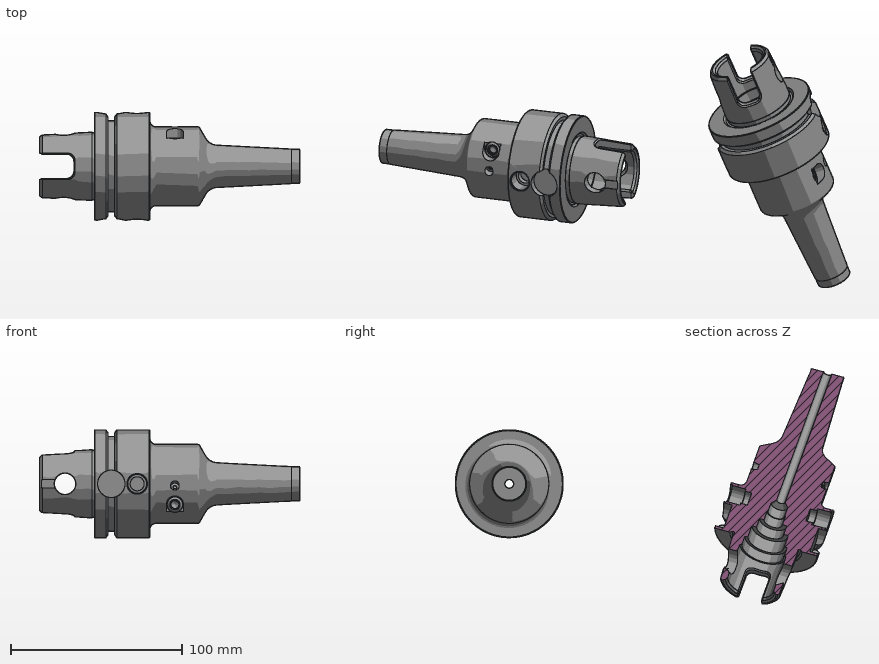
import cadquery as cq
import math


shank_length = 32.0
taper_slope = 0.05
taper_radius_at_flange = 20.05
shank_tip_chamfer_length = 1.7
shank_tip_radius = 17.2
neck_relief_start = -1.5
neck_relief_depth = 0.35
face_relief_radius = 22.0
face_relief_floor_radius = 20.9
face_relief_depth = 1.0

flange_radius = 63.0 / 2
flange_length = 32.5
flange_front_chamfer = 0.4
flange_rear_chamfer = 0.5
groove_center = 9.9
groove_bottom_width = 3.7
groove_top_width = 6.4
groove_mouth_depth = 1.8
groove_bottom_radius = 27.8

body_radius = 46.2 / 2
body_fillet = 3.5
body_end = 61.1
body_edge_fillet = 1.4
shoulder_angle = math.radians(60)
nose_fillet = 8.0
nose_angle = math.radians(3)
nose_taper_end = 115.0
nose_taper_end_radius = 10.15
nose_end = 120.0
nose_tip_radius = 10.0
nose_tip_chamfer = 0.4

bore_mouth_radius = 16.3
bore_mouth_chamfer_length = 0.9
bore_lead_in_radius = 14.9
bore_lead_in_length = 1.4
bore_radius = 14.0
bore_steps = [(-6.0, 12.8), (0.0, 11.0), (8.0, 8.2), (14.0, 5.5), (20.0, 5.0)]
bore_tip_cone_start = 26.0
bore_tip_cone_length = 3.0
through_radius = 5.0 / 2

slot_width = 14.0
slot_end = -12.0
slot_corner_radius = 4.0
slot_mouth_flare = 0.8
slot_edge_chamfer = 0.8

ball_hole_diameter = 12.4
ball_hole_x = -17.1
ball_seat_tilt = math.radians(35)
ball_seat_depth = 15.5
key_flat_width = 5.0
key_flat_height = 18.1

pocket_diameter = 16.0
pocket_floor = 26.5
lock_hole_x = 25.0
lock_mouth_diameter = 12.0
lock_mouth_floor = 30.3
lock_hole_diameter = 11.0
lock_step_floor = 22.0
lock_inner_diameter = 8.2
lock_inner_floor = 18.0

screw_x = 47.0
screw_z = -12.1
notch_width = 10.0
notch_floor = 16.5
screw_hole_diameter = 9.2
screw_hole_floor = 14.5
screw_diameter = 9.0
screw_top_diameter = 6.0
screw_height = 1.7
socket_diameter = 4.62
socket_depth = 1.0
socket_cone_depth = 1.4
bleed_z = -0.9
bleed_tilt = math.radians(20)
bleed_diameter = 5.0
bleed_depth = 3.0
bleed_socket_diameter = 2.31
bleed_socket_depth = 1.0


def taper_radius(x):
    return taper_radius_at_flange + taper_slope * x


def twin(solid):
    """The solid together with its copy turned half a turn about the X axis."""
    return solid.union(solid.rotate((0, 0, 0), (1, 0, 0), 180))


def side_cylinder(x, z, diameter, floor):
    """Cylinder along Y from the depth |y| = floor out past the flange on the -Y side."""
    plane = cq.Plane(origin=(x, -floor, z), xDir=(1, 0, 0), normal=(0, -1, 0))
    return cq.Workplane(plane).circle(diameter / 2).extrude(flange_radius)


def make_outer_body():
    tip_x = -shank_length
    tip_end = tip_x + shank_tip_chamfer_length
    relief_radius = taper_radius(neck_relief_start) - neck_relief_depth
    half_bottom = groove_bottom_width / 2
    half_top = groove_top_width / 2
    groove_shoulder = flange_radius - groove_mouth_depth

    edge_tangent = body_edge_fillet * math.tan(shoulder_angle / 2)
    edge_fillet_end = (
        body_end + edge_tangent * math.cos(shoulder_angle),
        body_radius - edge_tangent * math.sin(shoulder_angle),
    )

    nose_slope = math.tan(nose_angle)
    shoulder_slope = math.tan(shoulder_angle)
    reference = nose_taper_end_radius + nose_fillet / math.cos(nose_angle) + nose_slope * nose_taper_end
    shoulder_line = body_radius + nose_fillet / math.cos(shoulder_angle) + shoulder_slope * body_end
    arc_x = (shoulder_line - reference) / (shoulder_slope - nose_slope)
    arc_r = reference - nose_slope * arc_x

    def on_arc(angle):
        return (arc_x - nose_fillet * math.sin(angle), arc_r - nose_fillet * math.cos(angle))

    return (
        cq.Workplane("XY")
        .moveTo(tip_x, 0)
        .lineTo(tip_x, shank_tip_radius)
        .lineTo(tip_end, taper_radius(tip_end))
        .lineTo(neck_relief_start, taper_radius(neck_relief_start))
        .lineTo(neck_relief_start, relief_radius)
        .lineTo(face_relief_depth, relief_radius)
        .lineTo(face_relief_depth, face_relief_floor_radius)
        .lineTo(0, face_relief_radius)
        .lineTo(0, flange_radius - flange_front_chamfer)
        .lineTo(flange_front_chamfer, flange_radius)
        .lineTo(groove_center - half_top, flange_radius)
        .lineTo(groove_center - half_bottom, groove_shoulder)
        .lineTo(groove_center - half_bottom, groove_bottom_radius)
        .lineTo(groove_center + half_bottom, groove_bottom_radius)
        .lineTo(groove_center + half_bottom, groove_shoulder)
        .lineTo(groove_center + half_top, flange_radius)
        .lineTo(flange_length - flange_rear_chamfer, flange_radius)
        .lineTo(flange_length, flange_radius - flange_rear_chamfer)
        .lineTo(flange_length, body_radius + body_fillet)
        .radiusArc((flange_length + body_fillet, body_radius), -body_fillet)
        .lineTo(body_end - edge_tangent, body_radius)
        .radiusArc(edge_fillet_end, body_edge_fillet)
        .lineTo(*on_arc(shoulder_angle))
        .threePointArc(on_arc((shoulder_angle + nose_angle) / 2), on_arc(nose_angle))
        .lineTo(nose_taper_end, nose_taper_end_radius)
        .lineTo(nose_taper_end, nose_tip_radius)
        .lineTo(nose_end - nose_tip_chamfer, nose_tip_radius)
        .lineTo(nose_end, nose_tip_radius - nose_tip_chamfer)
        .lineTo(nose_end, 0)
        .close()
        .revolve(360, (0, 0, 0), (1, 0, 0))
    )


def make_bore():
    profile = (
        cq.Workplane("XY")
        .moveTo(-shank_length, 0)
        .lineTo(-shank_length, bore_mouth_radius)
        .lineTo(-shank_length + bore_mouth_chamfer_length, bore_lead_in_radius)
        .lineTo(-shank_length + bore_mouth_chamfer_length + bore_lead_in_length, bore_radius)
    )
    wall_radius = bore_radius
    for floor, next_radius in bore_steps:
        profile = profile.lineTo(floor, wall_radius).lineTo(floor, next_radius)
        wall_radius = next_radius
    return (
        profile.lineTo(bore_tip_cone_start, wall_radius)
        .lineTo(bore_tip_cone_start + bore_tip_cone_length, through_radius)
        .lineTo(nose_end, through_radius)
        .lineTo(nose_end, 0)
        .close()
        .revolve(360, (0, 0, 0), (1, 0, 0))
    )


def make_drive_slot():
    half = slot_width / 2
    tip = -shank_length
    flare_end = tip + shank_tip_chamfer_length
    corner = slot_corner_radius
    half_floor = half - corner
    return (
        cq.Workplane("XY")
        .moveTo(tip, half + slot_mouth_flare)
        .lineTo(flare_end, half)
        .lineTo(slot_end - corner, half)
        .radiusArc((slot_end, half_floor), corner)
        .lineTo(slot_end, -half_floor)
        .radiusArc((slot_end - corner, -half), corner)
        .lineTo(flare_end, -half)
        .lineTo(tip, -half - slot_mouth_flare)
        .close()
        .extrude(flange_radius, both=True)
    )


def make_slotted_body():
    """Turned body with bore and drive slot, the slot edges chamfered along the taper and the bore."""
    body = make_outer_body().cut(make_bore()).cut(make_drive_slot())
    taper_start = shank_tip_chamfer_length - shank_length
    bore_start = bore_mouth_chamfer_length + bore_lead_in_length - shank_length
    half = slot_width / 2
    slot_box = cq.selectors.BoxSelector(
        (min(taper_start, bore_start), -half - slot_edge_chamfer, -flange_radius),
        (slot_end + slot_edge_chamfer, half + slot_edge_chamfer, flange_radius),
    )

    def runs_along_taper_or_bore(edge):
        return edge.geomType() != "LINE" or abs(edge.tangentAt(0).x) > 0.5

    edges = body.edges(slot_box).filter(runs_along_taper_or_bore)
    return edges.chamfer(slot_edge_chamfer)


def make_shank_side_cuts():
    ball_hole = side_cylinder(ball_hole_x, 0, ball_hole_diameter, 0)
    inward = (-math.sin(ball_seat_tilt), math.cos(ball_seat_tilt), 0)
    seat_plane = cq.Plane(origin=(ball_hole_x, -ball_seat_depth, 0), xDir=(0, 0, 1), normal=inward)
    ball_seat = cq.Workplane(seat_plane).circle(ball_hole_diameter / 2).extrude(ball_seat_depth / 2)
    flat_length = ball_hole_x + shank_length
    flat = cq.Workplane("XY").box(flat_length, flange_radius, key_flat_width, centered=(False, False, True))
    flat = flat.translate((-shank_length, -flange_radius - key_flat_height, 0))
    return twin(ball_hole.union(ball_seat).union(flat))


def make_flange_side_cuts():
    pocket = side_cylinder(groove_center, 0, pocket_diameter, pocket_floor)
    mouth = side_cylinder(lock_hole_x, 0, lock_mouth_diameter, lock_mouth_floor)
    hole = side_cylinder(lock_hole_x, 0, lock_hole_diameter, lock_step_floor)
    inner = side_cylinder(lock_hole_x, 0, lock_inner_diameter, lock_inner_floor)
    return twin(pocket.union(mouth).union(hole).union(inner))


def make_screw_notch():
    round_end = side_cylinder(screw_x, screw_z, notch_width, notch_floor)
    run_out = cq.Workplane("XY").box(notch_width, flange_radius, body_radius, centered=(True, False, False))
    run_out = run_out.translate((screw_x, -notch_floor - flange_radius, screw_z - body_radius))
    screw_hole = side_cylinder(screw_x, screw_z, screw_hole_diameter, screw_hole_floor)
    return twin(round_end.union(run_out).union(screw_hole))


def side_cone(base_diameter, base, tip_diameter, tip):
    """Cone on the clamping screw axis, between the depths |y| = base and |y| = tip on the -Y side."""
    height = tip - base
    direction = cq.Vector(0, -math.copysign(1, height), 0)
    start = cq.Vector(screw_x, -base, screw_z)
    return cq.Workplane(cq.Solid.makeCone(base_diameter / 2, tip_diameter / 2, abs(height), start, direction))


def make_screw_head():
    screw_top = screw_hole_floor + screw_height
    return twin(side_cone(screw_diameter, screw_hole_floor, screw_top_diameter, screw_top))


def make_screw_socket():
    socket_floor = screw_hole_floor + screw_height - socket_depth
    socket = side_cylinder(screw_x, screw_z, socket_diameter, socket_floor)
    return twin(socket.union(side_cone(socket_diameter, socket_floor, 0, socket_floor - socket_cone_depth)))


def make_bleed_hole():
    outward = cq.Vector(0, -math.cos(bleed_tilt), math.sin(bleed_tilt))
    entry = cq.Vector(screw_x, -body_radius, bleed_z)
    floor = entry - outward * bleed_depth
    plane = cq.Plane(origin=floor.toTuple(), xDir=(1, 0, 0), normal=outward.toTuple())
    hole = cq.Workplane(plane).circle(bleed_diameter / 2).extrude(2 * bleed_depth)
    socket = cq.Workplane(plane).polygon(6, bleed_socket_diameter).extrude(-bleed_socket_depth)
    return twin(hole.union(socket))


result = (
    make_slotted_body()
    .cut(make_shank_side_cuts())
    .cut(make_flange_side_cuts())
    .cut(make_screw_notch())
    .union(make_screw_head())
    .cut(make_screw_socket())
    .cut(make_bleed_hole())
)